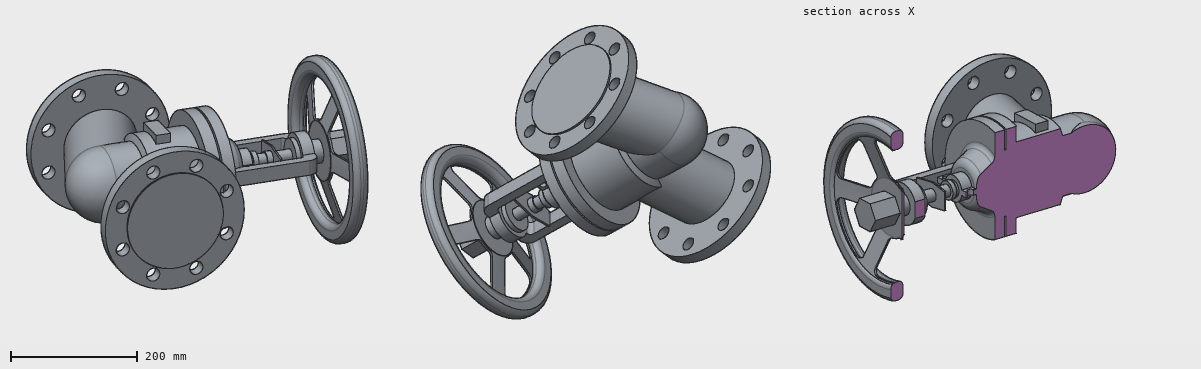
import cadquery as cq
import math


TOLERANCE = 0.01

FACE_TO_FACE = 350.0
FLANGE_DIAMETER = 235.0
FLANGE_THICKNESS = 20.0
RAISED_FACE_DIAMETER = 162.0
RAISED_FACE_HEIGHT = 3.0
BOLT_CIRCLE_DIAMETER = 190.0
BOLT_HOLE_DIAMETER = 22.0
BOLT_COUNT = 8
FLANGE_OUTER_X = FACE_TO_FACE / 2 - RAISED_FACE_HEIGHT
FLANGE_INNER_X = FLANGE_OUTER_X - FLANGE_THICKNESS

PIPE_RADIUS = 58.0
INLET_SLOPE = 20.3
OUTLET_SLOPE = 13.0

BOWL_RADIUS = 61.5
BOWL_CENTER_Y = -52.8
BODY_RADIUS = 73.2
BODY_BOTTOM_Y = -1.6
BODY_EDGE_Y = 3.3
BODY_FLANGE_RADIUS = 98.0
BODY_FLANGE_BOTTOM_Y = 90.0
BODY_FLANGE_TOP_Y = 110.8
GASKET_RADIUS = 66.0
BONNET_FLANGE_BOTTOM_Y = 113.5
BONNET_FLANGE_TOP_Y = 133.0

PAD_WIDTH = 55.0
PAD_BOTTOM_Y = 24.5
PAD_TOP_Y = 49.0
PAD_FACE_Z = 83.0

CONE_TOP_Y = 170.0
CONE_BASE_RADIUS = 54.7
CONE_HALF_ANGLE = 23.0
CONE_TOP_FILLET = 15.0
CONE_BASE_FILLET = 10.0

YOKE_HALF_WIDTH = 57.0
YOKE_ARM_WIDTH = 15.5
YOKE_THICKNESS = 25.0
YOKE_TOP_Y = 290.0
YOKE_BRIDGE_HEIGHT = 20.0
YOKE_OUTER_FILLET = 17.0
YOKE_INNER_FILLET = 8.0
YOKE_BOSS_RADIUS = 35.5
YOKE_INNER_HALF_WIDTH = YOKE_HALF_WIDTH - YOKE_ARM_WIDTH
YOKE_BRIDGE_BOTTOM_Y = YOKE_TOP_Y - YOKE_BRIDGE_HEIGHT

WEB_TOP_Y = 190.0
WEB_THICKNESS = 10.0
WEB_HOLE_X = 32.2
WEB_HOLE_Y = 180.2
WEB_HOLE_DIAMETER = 11.0

STEM_RADIUS = 10.6
STUFFING_BOX_RADIUS = 22.5
GLAND_NECK_RADIUS = 14.5
GLAND_BOTTOM_Y = 194.7
GLAND_TOP_Y = 203.0
GLAND_RADIUS = 16.0
COLLAR_BOTTOM_Y = 219.0
COLLAR_RADIUS = 12.7
STEM_NUT_BOTTOM_Y = 262.0
STEM_NUT_RADIUS = 27.5
SLEEVE_RADIUS = 19.4

INDICATOR_BOTTOM_Y = 229.0
INDICATOR_THICKNESS = 3.0
INDICATOR_HALF_WIDTH = 21.3
INDICATOR_END_HALF_WIDTH = 15.0

WHEEL_RADIUS = 150.0
RIM_CENTER_Y = 325.5
RIM_WIDTH = 32.0
RIM_HEIGHT = 25.0
RIM_FILLET = 10.0
RIM_GRIP_WIDTH = 7.7
RIM_GRIP_RADIUS = (RIM_FILLET**2 + RIM_GRIP_WIDTH**2) / (2 * RIM_GRIP_WIDTH)
RIM_INNER_RADIUS = WHEEL_RADIUS - RIM_WIDTH
HUB_RADIUS = 48.5
HUB_BOTTOM_Y = 311.0
HUB_THICKNESS = 4.0
DISH_SETBACK = 1.0
SPOKE_COUNT = 5
SPOKE_WIDTH = 32.0
SPOKE_THICKNESS = 3.5
SPOKE_RISE = 22.0
WINDOW_INNER_RADIUS = 50.5
WINDOW_FILLET = 10.0
NUT_ACROSS_FLATS = 48.0
NUT_SIDES = 6
NUT_TOP_Y = 364.35


def stem_cylinder(radius, bottom_y, top_y):
    """Cylinder on the stem axis between two heights."""
    return cq.Workplane("XZ", origin=(0, bottom_y, 0)).circle(radius).extrude(bottom_y - top_y)


def pipe_flange(side):
    """Drilled flange with raised face; side is -1 for the inlet, +1 for the outlet."""
    plate = cq.Workplane("YZ", origin=(side * FLANGE_INNER_X, 0, 0))
    bolt_holes = plate.polarArray(BOLT_CIRCLE_DIAMETER / 2, 180 / BOLT_COUNT, 360, BOLT_COUNT)
    bolt_holes = bolt_holes.circle(BOLT_HOLE_DIAMETER / 2).extrude(side * FLANGE_THICKNESS)
    raised_face = plate.circle(RAISED_FACE_DIAMETER / 2)
    raised_face = raised_face.extrude(side * (FLANGE_THICKNESS + RAISED_FACE_HEIGHT))
    disc = plate.circle(FLANGE_DIAMETER / 2).extrude(side * FLANGE_THICKNESS)
    return disc.cut(bolt_holes).union(raised_face)


def pipe_neck(side, end_rise):
    """Pipe from a flange's inner face to the stem axis, where its centre line is at Y = end_rise."""
    run = cq.Vector(-side * FLANGE_INNER_X, end_rise, 0)
    pipe_start = cq.Vector(side * FLANGE_INNER_X, 0, 0) - run.normalized() * FLANGE_THICKNESS
    pipe = cq.Solid.makeCylinder(PIPE_RADIUS, run.Length + FLANGE_THICKNESS, pipe_start, run)
    inside_of_flange = cq.Workplane("XY").box(2 * FLANGE_INNER_X, FLANGE_DIAMETER, FLANGE_DIAMETER)
    return inside_of_flange.intersect(cq.Workplane(obj=pipe))


def valve_body():
    """Round-bottomed bowl widening into the body cylinder and its flange."""
    profile = (
        cq.Workplane("XY")
        .moveTo(0, BOWL_CENTER_Y - BOWL_RADIUS)
        .radiusArc((BOWL_RADIUS, BOWL_CENTER_Y), -BOWL_RADIUS)
        .lineTo(BOWL_RADIUS, BODY_BOTTOM_Y)
        .lineTo(BODY_RADIUS, BODY_EDGE_Y)
        .lineTo(BODY_RADIUS, BODY_FLANGE_BOTTOM_Y)
        .lineTo(BODY_FLANGE_RADIUS, BODY_FLANGE_BOTTOM_Y)
        .lineTo(BODY_FLANGE_RADIUS, BODY_FLANGE_TOP_Y)
        .lineTo(0, BODY_FLANGE_TOP_Y)
        .close()
    )
    return profile.revolve(360, (0, 0), (0, 1))


def nameplate_pad():
    """Rectangular pad rising from the body along +Z."""
    pad_center_y = (PAD_BOTTOM_Y + PAD_TOP_Y) / 2
    pad = cq.Workplane("XY").center(0, pad_center_y).rect(PAD_WIDTH, PAD_TOP_Y - PAD_BOTTOM_Y)
    return pad.extrude(PAD_FACE_Z)


def bonnet():
    """Gasket, bonnet flange and the filleted cone above it."""
    gasket = stem_cylinder(GASKET_RADIUS, BODY_FLANGE_TOP_Y, BONNET_FLANGE_BOTTOM_Y)
    flange = stem_cylinder(BODY_FLANGE_RADIUS, BONNET_FLANGE_BOTTOM_Y, BONNET_FLANGE_TOP_Y)
    cone_height = CONE_TOP_Y - BONNET_FLANGE_TOP_Y
    cone_top_radius = CONE_BASE_RADIUS - cone_height * math.tan(math.radians(CONE_HALF_ANGLE))
    cone = cq.Workplane(
        obj=cq.Solid.makeCone(
            CONE_BASE_RADIUS,
            cone_top_radius,
            cone_height,
            cq.Vector(0, BONNET_FLANGE_TOP_Y, 0),
            cq.Vector(0, 1, 0),
        )
    )
    body = flange.union(cone.faces(">Y").edges().fillet(CONE_TOP_FILLET))
    flange_top_edges = body.edges("%CIRCLE").filter(
        lambda edge: abs(edge.Center().y - BONNET_FLANGE_TOP_Y) < TOLERANCE
    )
    cone_foot = flange_top_edges.edges(cq.selectors.RadiusNthSelector(0))
    return cone_foot.fillet(CONE_BASE_FILLET).union(gasket)


def yoke():
    """Arched frame with a round bridge boss and a drilled cross web."""
    outer_height = YOKE_TOP_Y - BONNET_FLANGE_TOP_Y
    inner_height = outer_height - YOKE_BRIDGE_HEIGHT
    arch = cq.Workplane("XY", origin=(0, BONNET_FLANGE_TOP_Y + outer_height / 2, 0))
    arch = arch.box(2 * YOKE_HALF_WIDTH, outer_height, YOKE_THICKNESS)
    arch = arch.edges("|Z and >Y").fillet(YOKE_OUTER_FILLET)
    opening = cq.Workplane("XY", origin=(0, BONNET_FLANGE_TOP_Y + inner_height / 2, 0))
    opening = opening.box(2 * YOKE_INNER_HALF_WIDTH, inner_height, YOKE_THICKNESS)
    opening = opening.edges("|Z and >Y").fillet(YOKE_INNER_FILLET)
    boss = stem_cylinder(YOKE_BOSS_RADIUS, YOKE_BRIDGE_BOTTOM_Y, YOKE_TOP_Y)

    web_height = WEB_TOP_Y - BONNET_FLANGE_TOP_Y
    web = cq.Workplane("XY", origin=(0, BONNET_FLANGE_TOP_Y + web_height / 2, 0))
    web = web.box(2 * YOKE_INNER_HALF_WIDTH, web_height, WEB_THICKNESS)
    web_holes = cq.Workplane("XY").pushPoints([(-WEB_HOLE_X, WEB_HOLE_Y), (WEB_HOLE_X, WEB_HOLE_Y)])
    web_holes = web_holes.circle(WEB_HOLE_DIAMETER / 2).extrude(WEB_THICKNESS / 2, both=True)
    return arch.cut(opening).union(boss).union(web.cut(web_holes))


def stem():
    """Stuffing box, gland, stem, collar, stem nut and handwheel sleeve."""
    indicator_top_y = INDICATOR_BOTTOM_Y + INDICATOR_THICKNESS
    sections = [
        (STUFFING_BOX_RADIUS, BONNET_FLANGE_TOP_Y, WEB_TOP_Y),
        (GLAND_NECK_RADIUS, WEB_TOP_Y, GLAND_BOTTOM_Y),
        (GLAND_RADIUS, GLAND_BOTTOM_Y, GLAND_TOP_Y),
        (STEM_RADIUS, GLAND_TOP_Y, STEM_NUT_BOTTOM_Y),
        (COLLAR_RADIUS, COLLAR_BOTTOM_Y, indicator_top_y),
        (STEM_NUT_RADIUS, STEM_NUT_BOTTOM_Y, YOKE_BRIDGE_BOTTOM_Y),
        (SLEEVE_RADIUS, YOKE_TOP_Y, HUB_BOTTOM_Y),
    ]
    body = stem_cylinder(*sections[0])
    for section in sections[1:]:
        body = body.union(stem_cylinder(*section))
    return body


def travel_indicator():
    """Thin plate between the yoke arms, widest at the stem."""
    outline = [
        (-YOKE_INNER_HALF_WIDTH, -INDICATOR_END_HALF_WIDTH),
        (0, -INDICATOR_HALF_WIDTH),
        (YOKE_INNER_HALF_WIDTH, -INDICATOR_END_HALF_WIDTH),
        (YOKE_INNER_HALF_WIDTH, INDICATOR_END_HALF_WIDTH),
        (0, INDICATOR_HALF_WIDTH),
        (-YOKE_INNER_HALF_WIDTH, INDICATOR_END_HALF_WIDTH),
    ]
    plate = cq.Workplane("XZ", origin=(0, INDICATOR_BOTTOM_Y, 0)).polyline(outline).close()
    return plate.extrude(-INDICATOR_THICKNESS)


def spoke_windows():
    """Round-cornered cutters for the openings between the spokes."""
    ring = cq.Workplane("XZ", origin=(0, HUB_BOTTOM_Y, 0))
    ring = ring.circle(RIM_INNER_RADIUS).circle(WINDOW_INNER_RADIUS).extrude(-RIM_HEIGHT)
    for index in range(SPOKE_COUNT):
        spoke = cq.Workplane("XZ", origin=(0, HUB_BOTTOM_Y, 0)).center(WHEEL_RADIUS / 2, 0)
        spoke = spoke.rect(WHEEL_RADIUS, SPOKE_WIDTH).extrude(-RIM_HEIGHT)
        ring = ring.cut(spoke.rotate((0, 0, 0), (0, 1, 0), index * 360 / SPOKE_COUNT))
    return ring.edges("|Y").fillet(WINDOW_FILLET)


def handwheel_rim():
    """Ring with rounded inner corners and flatter rounding at the grip side."""
    bottom_y = RIM_CENTER_Y - RIM_HEIGHT / 2
    top_y = RIM_CENTER_Y + RIM_HEIGHT / 2
    inner_flat_radius = RIM_INNER_RADIUS + RIM_FILLET
    outer_flat_radius = WHEEL_RADIUS - RIM_GRIP_WIDTH
    profile = (
        cq.Workplane("XY")
        .moveTo(inner_flat_radius, bottom_y)
        .lineTo(outer_flat_radius, bottom_y)
        .radiusArc((WHEEL_RADIUS, bottom_y + RIM_FILLET), -RIM_GRIP_RADIUS)
        .lineTo(WHEEL_RADIUS, top_y - RIM_FILLET)
        .radiusArc((outer_flat_radius, top_y), -RIM_GRIP_RADIUS)
        .lineTo(inner_flat_radius, top_y)
        .radiusArc((RIM_INNER_RADIUS, top_y - RIM_FILLET), -RIM_FILLET)
        .lineTo(RIM_INNER_RADIUS, bottom_y + RIM_FILLET)
        .radiusArc((inner_flat_radius, bottom_y), -RIM_FILLET)
        .close()
    )
    return profile.revolve(360, (0, 0), (0, 1))


def handwheel():
    """Rounded rim on a dished, five-spoke web with a hub disc and a hexagon nut."""
    dish_end_radius = RIM_INNER_RADIUS + RIM_FILLET
    dish_center_y = HUB_BOTTOM_Y + DISH_SETBACK
    dish_end_y = HUB_BOTTOM_Y + SPOKE_RISE
    dish = (
        cq.Workplane("XY")
        .moveTo(0, dish_center_y)
        .lineTo(HUB_RADIUS, dish_center_y)
        .lineTo(dish_end_radius, dish_end_y)
        .lineTo(dish_end_radius, dish_end_y + SPOKE_THICKNESS)
        .lineTo(HUB_RADIUS, dish_center_y + SPOKE_THICKNESS)
        .lineTo(0, dish_center_y + SPOKE_THICKNESS)
        .close()
        .revolve(360, (0, 0), (0, 1))
    )
    hub = stem_cylinder(HUB_RADIUS, HUB_BOTTOM_Y, HUB_BOTTOM_Y + HUB_THICKNESS)
    nut_diameter = NUT_ACROSS_FLATS / math.cos(math.pi / NUT_SIDES)
    nut = cq.Workplane("XZ", origin=(0, HUB_BOTTOM_Y, 0)).polygon(NUT_SIDES, nut_diameter)
    nut = nut.extrude(HUB_BOTTOM_Y - NUT_TOP_Y)
    return dish.cut(spoke_windows()).union(handwheel_rim()).union(hub).union(nut)


INLET_END_RISE = -FLANGE_INNER_X * math.tan(math.radians(INLET_SLOPE))
OUTLET_END_RISE = FLANGE_INNER_X * math.tan(math.radians(OUTLET_SLOPE))

result = valve_body()
result = result.union(pipe_neck(-1, INLET_END_RISE)).union(pipe_neck(1, OUTLET_END_RISE))
result = result.union(pipe_flange(-1)).union(pipe_flange(1))
result = result.union(nameplate_pad()).union(bonnet()).union(yoke()).union(stem())
result = result.union(travel_indicator()).union(handwheel())